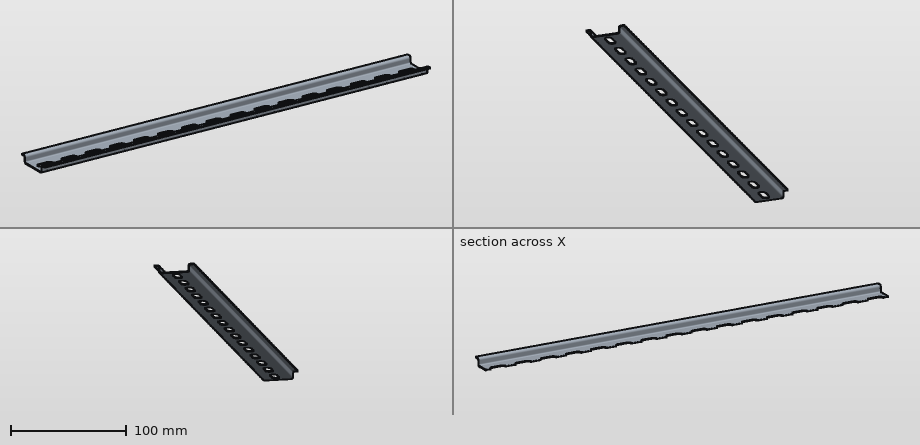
import cadquery as cq

length = 400.0
width = 35.0
height = 7.5
thickness = 1.0
channel_width = 27.0
inner_bend_radius = 1.0
outer_bend_radius = inner_bend_radius + thickness

slot_count = 16
slot_pitch = length / slot_count
slot_length = 15.0
slot_width = 6.5


def make_rail():
    """Mirror the right half of the hat profile and extrude it along Y."""
    half_width = width / 2
    wall_outside = channel_width / 2
    wall_inside = wall_outside - thickness
    flange_bottom = height - thickness

    lower_x = wall_inside - inner_bend_radius
    lower_z = outer_bend_radius
    upper_x = wall_outside + inner_bend_radius
    upper_z = height - outer_bend_radius

    return (
        cq.Workplane("XZ")
        .moveTo(0, 0)
        .lineTo(lower_x, 0)
        .tangentArcPoint((wall_outside, lower_z), relative=False)
        .lineTo(wall_outside, upper_z)
        .tangentArcPoint((upper_x, flange_bottom), relative=False)
        .lineTo(half_width, flange_bottom)
        .lineTo(half_width, height)
        .lineTo(upper_x, height)
        .tangentArcPoint((wall_inside, upper_z), relative=False)
        .lineTo(wall_inside, lower_z)
        .tangentArcPoint((lower_x, thickness), relative=False)
        .lineTo(0, thickness)
        .mirrorY()
        .extrude(length / 2, both=True)
    )


def make_slots():
    """Row of lengthwise through slots, centred in equal pitches."""
    return (
        cq.Workplane("XY")
        .rarray(4, slot_pitch, 1, slot_count)
        .slot2D(slot_length, slot_width, 90)
        .extrude(height)
    )


result = make_rail().cut(make_slots())